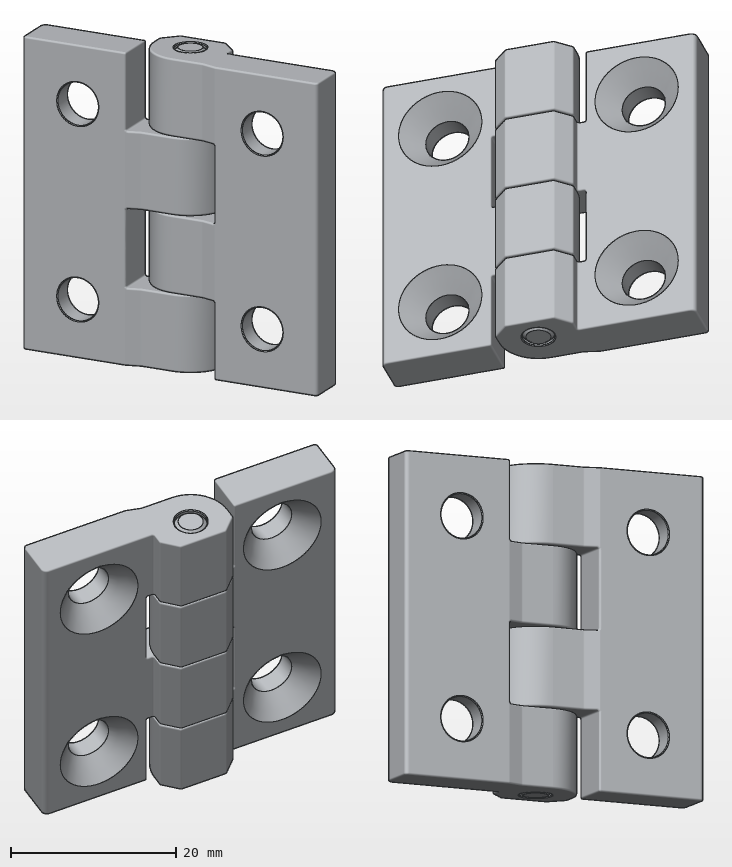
import cadquery as cq
import math

width = 40.0
height = 40.0
depth = 9.0

knuckle_radius = 5.0
knuckle_gap = 0.1
knuckle_count = 4
barrel_chamfer = 1.9
barrel_corner_radius = 0.4

plate_relief = 0.5
plate_inner_x = 6.0
ramp_outer_x = 6.1
ramp_angle = 15.0
ramp_fillet = 0.6
ramp_crest_radius = 0.2
front_corner_radius = 0.5
back_corner_radius = 0.8
barrel_root_fillet = 0.25
edge_fillet = 0.25
slot_fillet = 0.25

hole_diameter = 5.5
hole_spacing = 25.0
hole_rim_chamfer = 0.1
hole_straight_depth = 2.7
countersink_diameter = 10.6

pin_diameter = 4.0
pin_chamfer = 0.5
bore_chamfer = 0.1

front_y = -depth / 2
barrel_front_y = front_y + plate_relief
axis_y = barrel_front_y + knuckle_radius
plate_back_y = axis_y
back_y = depth / 2
outer_x = width / 2
ramp_inner_x = ramp_outer_x - plate_relief / math.tan(math.radians(ramp_angle))
knuckle_pitch = (height + knuckle_gap) / knuckle_count
knuckle_length = knuckle_pitch - knuckle_gap


def fillet_upright(body, x, y, radius):
    """Round the upright edge that stands at (x, y)."""
    reach = 0.02
    box = cq.selectors.BoxSelector((x - reach, y - reach, -height), (x + reach, y + reach, height))
    return body.edges("|Z").edges(box).fillet(radius)


def leaf_blank():
    """Full-height extrusion of the leaf outline: half-round barrel front, chamfered back, flat plate."""
    arc_mid = knuckle_radius * math.sqrt(0.5)
    barrel_flat = knuckle_radius - barrel_chamfer
    shoulder_y = back_y - barrel_chamfer
    blank = (
        cq.Workplane("XY")
        .workplane(offset=-height / 2)
        .moveTo(-knuckle_radius, axis_y)
        .threePointArc((-arc_mid, axis_y - arc_mid), (0, barrel_front_y))
        .lineTo(ramp_inner_x, barrel_front_y)
        .lineTo(ramp_outer_x, front_y)
        .lineTo(outer_x, front_y)
        .lineTo(outer_x, plate_back_y)
        .lineTo(knuckle_radius, plate_back_y)
        .lineTo(knuckle_radius, shoulder_y)
        .lineTo(barrel_flat, back_y)
        .lineTo(-barrel_flat, back_y)
        .lineTo(-knuckle_radius, shoulder_y)
        .close()
        .extrude(height)
    )
    rounded_corners = [
        (outer_x, front_y, front_corner_radius),
        (outer_x, plate_back_y, back_corner_radius),
        (knuckle_radius, plate_back_y, barrel_root_fillet),
        (ramp_inner_x, barrel_front_y, ramp_fillet),
        (ramp_outer_x, front_y, ramp_crest_radius),
    ]
    for side in (-1, 1):
        rounded_corners.append((side * knuckle_radius, shoulder_y, barrel_corner_radius))
        rounded_corners.append((side * barrel_flat, back_y, barrel_corner_radius))
    for x, y, radius in rounded_corners:
        blank = fillet_upright(blank, x, y, radius)
    return blank


def knuckle_slot(bottom_z, top_z):
    """Space for the other leaf's knuckle; corners inside the leaf are rounded."""
    slot_left = -width
    slot = cq.Workplane("XY").box(
        plate_inner_x - slot_left, 2 * depth, top_z - bottom_z, centered=False
    ).translate((slot_left, -depth, bottom_z))
    if bottom_z > -height / 2:
        slot = slot.edges("|Y and >X and <Z").fillet(slot_fillet)
    return slot.edges("|Y and >X and >Z").fillet(slot_fillet)


def screw_hole(x, z):
    """Screw hole through the plate: front rim chamfer, straight bore, countersink opening at the back."""
    radius = hole_diameter / 2
    rim_radius = radius + hole_rim_chamfer
    thickness = plate_back_y - front_y
    return (
        cq.Workplane("XY")
        .lineTo(rim_radius, 0)
        .lineTo(radius, hole_rim_chamfer)
        .lineTo(radius, hole_straight_depth)
        .lineTo(countersink_diameter / 2, thickness)
        .lineTo(0, thickness)
        .close()
        .revolve(360, (0, 0, 0), (0, 1, 0))
        .translate((x, front_y, z))
    )


def pin_bore():
    """Hole for the pin along the whole barrel, chamfered where it opens at either end."""
    bore_radius = pin_diameter / 2
    bore = cq.Workplane("XY", origin=(0, axis_y, -height / 2)).circle(bore_radius).extrude(height)
    mouth = (
        cq.Workplane("XY", origin=(0, axis_y, height / 2))
        .circle(bore_radius + bore_chamfer)
        .workplane(offset=-bore_chamfer)
        .circle(bore_radius)
        .loft()
    )
    return bore.union(mouth).union(mouth.mirror("XY"))


def make_leaf():
    """Right-hand leaf; it carries the first and third knuckles from the top."""
    leaf = leaf_blank()
    for index in range(1, knuckle_count, 2):
        top_z = height / 2 - index * knuckle_pitch + knuckle_gap
        bottom_z = top_z - knuckle_length - 2 * knuckle_gap
        leaf = leaf.cut(knuckle_slot(max(bottom_z, -height / 2), top_z))
    end_rims = leaf.faces("<Z or >Z").edges()
    knuckle_rims = leaf.faces("|Z").faces("not (<Z or >Z)").edges("not |Y")
    leaf = end_rims.add(knuckle_rims).fillet(edge_fillet)
    for z in (-hole_spacing / 2, hole_spacing / 2):
        leaf = leaf.cut(screw_hole(hole_spacing / 2, z))
    return leaf.cut(pin_bore())


def make_pin():
    """Hinge pin along the full height, chamfered at both ends."""
    pin = (
        cq.Workplane("XY", origin=(0, axis_y, -height / 2))
        .circle(pin_diameter / 2)
        .extrude(height)
    )
    return pin.faces("|Z").edges().chamfer(pin_chamfer)


leaf = make_leaf()
leaves = [leaf.rotate((0, 0, 0), (0, 1, 0), angle) for angle in (0, 180)]
pin = make_pin()

result = cq.Compound.makeCompound([*[item.val() for item in leaves], pin.val()])